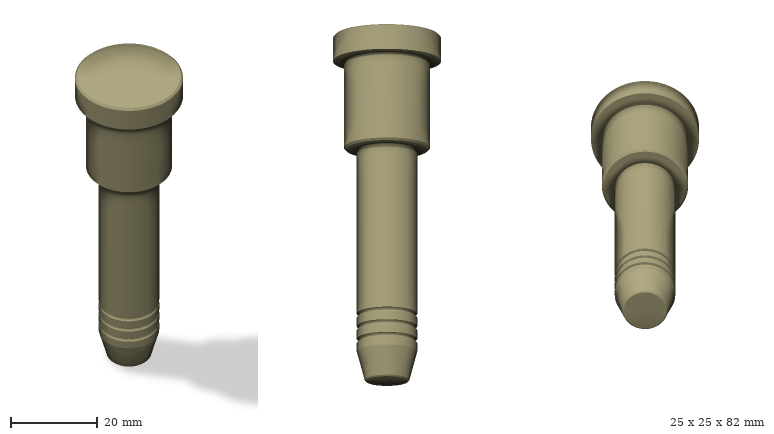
import cadquery as cq
import math

total_length = 82.0
head_diameter = 25.0
head_height = 6.0
edge_chamfer = 0.5

shoulder_diameter = 20.0
shoulder_bottom = total_length - 27.0

stem_diameter = 14.0
undercut_height = 1.0
undercut_depth = 0.45

groove_depth = 0.5
groove_count = 3
groove_pitch = 3.0

tip_height = 7.05
tip_angle = math.radians(15)
tip_chamfer = 0.3
tip_land_height = 2.0

head_radius = head_diameter / 2
shoulder_radius = shoulder_diameter / 2
stem_radius = stem_diameter / 2
undercut_radius = stem_radius - undercut_depth
undercut_bottom = shoulder_bottom - undercut_height
head_bottom = total_length - head_height
tip_end_radius = stem_radius - (tip_height - tip_chamfer) * math.tan(tip_angle)


def add_groove(outline, surface_radius, bottom):
    """Draw up to a groove, down its 45 degree lower wall and out along its concave upper wall."""
    diagonal = groove_depth * math.sqrt(0.5)
    middle = bottom + groove_depth
    return (
        outline.lineTo(surface_radius, bottom)
        .lineTo(surface_radius - groove_depth, middle)
        .threePointArc(
            (surface_radius - diagonal, middle + diagonal),
            (surface_radius, middle + groove_depth),
        )
    )


profile = (
    cq.Workplane("XZ")
    .lineTo(tip_end_radius - tip_chamfer, 0)
    .lineTo(tip_end_radius, tip_chamfer)
    .lineTo(stem_radius, tip_height)
)

for index in range(groove_count):
    groove_bottom = tip_height + tip_land_height + index * groove_pitch
    profile = add_groove(profile, stem_radius, groove_bottom)

profile = (
    profile.lineTo(stem_radius, undercut_bottom)
    .lineTo(undercut_radius, undercut_bottom)
    .lineTo(undercut_radius, shoulder_bottom)
    .lineTo(shoulder_radius - edge_chamfer, shoulder_bottom)
    .lineTo(shoulder_radius, shoulder_bottom + edge_chamfer)
)

profile = add_groove(profile, shoulder_radius, head_bottom - 2 * groove_depth)

profile = (
    profile.lineTo(head_radius, head_bottom)
    .lineTo(head_radius, total_length - edge_chamfer)
    .lineTo(head_radius - edge_chamfer, total_length)
    .lineTo(0, total_length)
    .close()
)

result = profile.revolve(360, (0, 0, 0), (0, 1, 0))